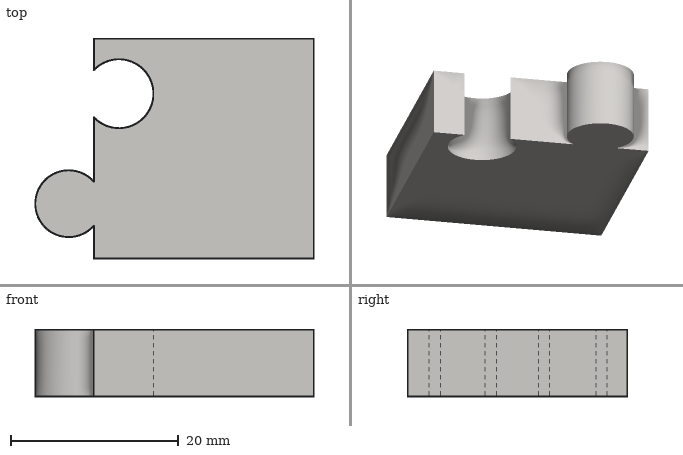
import cadquery as cq

side = 26.25
thickness = 8.0

knob_radius = 4.0
fit_clearance = 0.1
socket_radius = knob_radius + fit_clearance
center_offset = 3.0
knob_y = side / 4
socket_y = 3 * side / 4


def make_cylinder(x, y, radius):
    """Full-thickness cylinder standing on the base plane."""
    return cq.Workplane("XY").center(x, y).circle(radius).extrude(thickness)


body = cq.Workplane("XY").box(side, side, thickness, centered=False)
knob = make_cylinder(-center_offset, knob_y, knob_radius)
socket = make_cylinder(center_offset, socket_y, socket_radius)

result = body.union(knob).cut(socket)